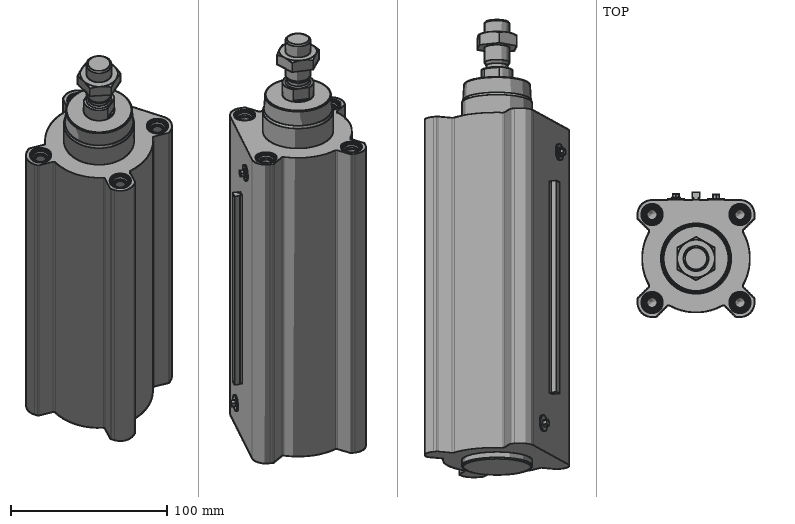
import cadquery as cq
import math

HEXAGON_SIDES = 6

BARREL_BOTTOM = 4.5
BARREL_TOP = 225.0
COLLAR_TOP = 252.0
ROD_SHOULDER = 261.2
ROD_TOP = 293.0

BARREL_HALF_WIDTH = 37.5
BARREL_RADIUS = 34.5
BOLT_OFFSET = 28.0
LOBE_RADIUS = BARREL_HALF_WIDTH - BOLT_OFFSET
LOBE_FLAT_END = 25.5
LOBE_FILLET = 1.2
NECK_FILLET = 1.2

MOUTH_DIAMETER = 13.8
COUNTERBORE_DIAMETER = 13.2
COUNTERBORE_FLOOR_DIAMETER = 12.0
COUNTERBORE_DEPTH = 1.2
COUNTERSINK_DIAMETER = 10.0
THREAD_DIAMETER = 8.0
THREAD_DEPTH = 3.5
DRILL_DIAMETER = 6.7
DRILL_DEPTH = 23.5
DRILL_TIP_ANGLE = 118.0

COLLAR_DIAMETER = 45.0
COLLAR_STEP_BOTTOM = 239.8
COLLAR_STEP_TOP = 241.5
COLLAR_CONE_BOTTOM_DIAMETER = 43.7
COLLAR_CONE_TOP_DIAMETER = 42.5
COLLAR_CHAMFER = 0.5
SPIGOT_CHAMFER = 1.0

RAIL_BOTTOM = 44.8
RAIL_TOP = 184.0
RAIL_HEIGHT = 5.0
RAIL_HEAD_UNDERSIDE = 1.5
RAIL_NECK_HEIGHT = 1.0
RAIL_WIDTH = 5.0
RAIL_NECK_WIDTH = 2.5

SCREW_OFFSET = 13.0
UPPER_SCREW_HEIGHT = 206.5
LOWER_SCREW_HEIGHT = 22.3
UPPER_SCREW_PROJECTION = 3.8
LOWER_SCREW_PROJECTION = 3.5
SCREW_BASE_DIAMETER = 10.5
SCREW_BASE_THICKNESS = 1.0
SCREW_HEAD_CORNER_DIAMETER = 4.7
SCREW_CONE_DIAMETER = 8.0
SCREW_CONE_HEIGHT = 1.8

ROD_DIAMETER = 20.0
ROD_FLATS = 17.0
FLATS_BOTTOM = COLLAR_TOP + 1.0
UNDERCUT_STEP = 1.0
THREADED_END_DIAMETER = 16.0
UNDERCUT_DIAMETER = 13.8
UNDERCUT_TOP = 264.5
THREAD_RUNOUT_TOP = 266.5
ROD_TIP_DIAMETER = 14.0

NUT_BOTTOM = 276.0
NUT_THICKNESS = 8.0
NUT_FLATS = 24.0
NUT_CHAMFER_DIAMETER = NUT_FLATS
NUT_CHAMFER_ANGLE = 30.0


def cylinder(diameter, bottom, top):
    """Cylinder on the Z axis between two heights."""
    return cq.Workplane("XY").workplane(offset=bottom).circle(diameter / 2).extrude(top - bottom)


def fillet_edge_near(body, point, radius):
    """Fillet the one edge whose middle lies nearest to a point."""
    return body.edges(cq.selectors.NearestToPointSelector(point)).fillet(radius)


def make_barrel():
    height = BARREL_TOP - BARREL_BOTTOM
    base = cq.Workplane("XY").workplane(offset=BARREL_BOTTOM)
    barrel = base.circle(BARREL_RADIUS).extrude(height)

    outer = BARREL_HALF_WIDTH
    flat_end = LOBE_FLAT_END
    inner = outer / 2
    inset = inner - (outer - flat_end)
    arc_middle = BOLT_OFFSET + LOBE_RADIUS / math.sqrt(2)
    lobe = (
        base.moveTo(inset, inner)
        .lineTo(flat_end, outer)
        .lineTo(BOLT_OFFSET, outer)
        .threePointArc((arc_middle, arc_middle), (outer, BOLT_OFFSET))
        .lineTo(outer, flat_end)
        .lineTo(inner, inset)
        .close()
        .extrude(height)
    )
    for corner in range(4):
        barrel = barrel.union(lobe.rotate((0, 0, 0), (0, 0, 1), 90 * corner))

    rear_fill = (
        base.moveTo(0, 0)
        .lineTo(BOLT_OFFSET, BOLT_OFFSET)
        .lineTo(BOLT_OFFSET, outer)
        .lineTo(-BOLT_OFFSET, outer)
        .lineTo(-BOLT_OFFSET, BOLT_OFFSET)
        .close()
        .extrude(height)
    )
    barrel = barrel.union(rear_fill).clean()

    flank_gap = (outer - flat_end) / 2
    along = math.sqrt(BARREL_RADIUS**2 - 2 * flank_gap**2) / math.sqrt(2)
    near = along - flank_gap
    far = along + flank_gap
    neck_points = [
        (near, -far), (-near, -far),
        (far, -near), (-far, -near),
        (far, near), (-far, near),
    ]
    middle = (BARREL_BOTTOM + BARREL_TOP) / 2
    for x, y in neck_points:
        barrel = fillet_edge_near(barrel, (x, y, middle), NECK_FILLET)

    corner_points = [
        (flat_end, -outer), (-flat_end, -outer),
        (outer, -flat_end), (-outer, -flat_end),
        (outer, flat_end), (-outer, flat_end),
    ]
    for x, y in corner_points:
        barrel = fillet_edge_near(barrel, (x, y, middle), LOBE_FILLET)
    return barrel


def make_collar():
    """Stepped, slightly tapered collar at the rod end."""
    top_radius = COLLAR_CONE_TOP_DIAMETER / 2
    return (
        cq.Workplane("XZ")
        .moveTo(0, BARREL_TOP)
        .lineTo(COLLAR_DIAMETER / 2, BARREL_TOP)
        .lineTo(COLLAR_DIAMETER / 2, COLLAR_STEP_BOTTOM)
        .lineTo(COLLAR_CONE_BOTTOM_DIAMETER / 2, COLLAR_STEP_TOP)
        .lineTo(top_radius, COLLAR_TOP - COLLAR_CHAMFER)
        .lineTo(top_radius - COLLAR_CHAMFER, COLLAR_TOP)
        .lineTo(0, COLLAR_TOP)
        .close()
        .revolve(360, (0, 0, 0), (0, 1, 0))
    )


def make_spigot():
    return cylinder(COLLAR_DIAMETER, 0, BARREL_BOTTOM).faces("<Z").chamfer(SPIGOT_CHAMFER)


def make_mounting_hole():
    """Cutter for one corner hole, on the Z axis, with a conical drill tip."""
    mouth_chamfer = (MOUTH_DIAMETER - COUNTERBORE_DIAMETER) / 2
    floor_chamfer = (COUNTERBORE_DIAMETER - COUNTERBORE_FLOOR_DIAMETER) / 2
    tip_height = DRILL_DIAMETER / 2 / math.tan(math.radians(DRILL_TIP_ANGLE / 2))
    counterbore_floor = BARREL_TOP - COUNTERBORE_DEPTH
    countersink_end = counterbore_floor - (COUNTERSINK_DIAMETER - THREAD_DIAMETER) / 2
    thread_end = BARREL_TOP - THREAD_DEPTH
    drill_end = BARREL_TOP - DRILL_DEPTH
    return (
        cq.Workplane("XZ")
        .moveTo(0, BARREL_TOP)
        .lineTo(MOUTH_DIAMETER / 2, BARREL_TOP)
        .lineTo(COUNTERBORE_DIAMETER / 2, BARREL_TOP - mouth_chamfer)
        .lineTo(COUNTERBORE_DIAMETER / 2, counterbore_floor + floor_chamfer)
        .lineTo(COUNTERBORE_FLOOR_DIAMETER / 2, counterbore_floor)
        .lineTo(COUNTERSINK_DIAMETER / 2, counterbore_floor)
        .lineTo(THREAD_DIAMETER / 2, countersink_end)
        .lineTo(THREAD_DIAMETER / 2, thread_end)
        .lineTo(DRILL_DIAMETER / 2, thread_end)
        .lineTo(DRILL_DIAMETER / 2, drill_end)
        .lineTo(0, drill_end - tip_height)
        .close()
        .revolve(360, (0, 0, 0), (0, 1, 0))
    )


def make_rail():
    """Rail of T section with a flared foot, standing on the flat rear side."""
    foot = BARREL_HALF_WIDTH
    wide = RAIL_WIDTH / 2
    narrow = RAIL_NECK_WIDTH / 2
    half_profile = [
        (wide, foot),
        (narrow, foot + RAIL_NECK_HEIGHT),
        (wide, foot + RAIL_HEAD_UNDERSIDE),
        (wide, foot + RAIL_HEIGHT),
    ]
    mirrored = [(-x, y) for x, y in reversed(half_profile)]
    return (
        cq.Workplane("XY")
        .workplane(offset=RAIL_BOTTOM)
        .polyline(half_profile + mirrored)
        .close()
        .extrude(RAIL_TOP - RAIL_BOTTOM)
    )


def make_screw(x, z, projection):
    """Cushion screw: thin round base and a hexagonal head with corners up and down."""
    plane = cq.Plane(origin=(x, BARREL_HALF_WIDTH, z), xDir=(0, 0, 1), normal=(0, 1, 0))
    base = cq.Workplane(plane).circle(SCREW_BASE_DIAMETER / 2).extrude(SCREW_BASE_THICKNESS)
    head = cq.Workplane(plane).polygon(HEXAGON_SIDES, SCREW_HEAD_CORNER_DIAMETER).extrude(projection)
    return base.union(head)


def make_screw_cone(x, z):
    """Conical seat around the head of a cushion screw."""
    return cq.Workplane(
        cq.Solid.makeCone(
            SCREW_CONE_DIAMETER / 2,
            SCREW_HEAD_CORNER_DIAMETER / 2,
            SCREW_CONE_HEIGHT,
            pnt=cq.Vector(x, BARREL_HALF_WIDTH, z),
            dir=cq.Vector(0, 1, 0),
        )
    )


def make_housing():
    housing = make_barrel().union(make_collar()).union(make_spigot()).union(make_rail())
    housing = housing.union(make_screw(-SCREW_OFFSET, UPPER_SCREW_HEIGHT, UPPER_SCREW_PROJECTION))
    housing = housing.union(make_screw_cone(-SCREW_OFFSET, UPPER_SCREW_HEIGHT))
    housing = housing.union(make_screw(SCREW_OFFSET, LOWER_SCREW_HEIGHT, LOWER_SCREW_PROJECTION))
    mounting_hole = make_mounting_hole()
    for x in (-BOLT_OFFSET, BOLT_OFFSET):
        for y in (-BOLT_OFFSET, BOLT_OFFSET):
            housing = housing.cut(mounting_hole.translate((x, y, 0)))
    rod_bore = cylinder(ROD_DIAMETER, BARREL_TOP, COLLAR_TOP)
    return housing.cut(rod_bore)


def make_rod():
    thread_radius = THREADED_END_DIAMETER / 2
    undercut_radius = UNDERCUT_DIAMETER / 2
    tip_chamfer = (THREADED_END_DIAMETER - ROD_TIP_DIAMETER) / 2
    rod = (
        cq.Workplane("XZ")
        .moveTo(0, BARREL_TOP)
        .lineTo(ROD_DIAMETER / 2, BARREL_TOP)
        .lineTo(ROD_DIAMETER / 2, ROD_SHOULDER)
        .lineTo(thread_radius, ROD_SHOULDER)
        .lineTo(undercut_radius, ROD_SHOULDER + UNDERCUT_STEP)
        .lineTo(undercut_radius, UNDERCUT_TOP)
        .lineTo(thread_radius, THREAD_RUNOUT_TOP)
        .lineTo(thread_radius, ROD_TOP - tip_chamfer)
        .lineTo(ROD_TIP_DIAMETER / 2, ROD_TOP)
        .lineTo(0, ROD_TOP)
        .close()
        .revolve(360, (0, 0, 0), (0, 1, 0))
    )
    flats_height = ROD_SHOULDER - FLATS_BOTTOM
    for side in (-1, 1):
        flat_cut = (
            cq.Workplane("XY")
            .workplane(offset=FLATS_BOTTOM)
            .center(side * (ROD_FLATS + ROD_DIAMETER) / 2, 0)
            .rect(ROD_DIAMETER, ROD_DIAMETER)
            .extrude(flats_height)
        )
        rod = rod.cut(flat_cut)
    return rod


def make_nut():
    half_side_angle = 180 / HEXAGON_SIDES
    corner_diameter = NUT_FLATS / math.cos(math.radians(half_side_angle))
    nut_top = NUT_BOTTOM + NUT_THICKNESS
    nut = (
        cq.Workplane("XY")
        .workplane(offset=NUT_BOTTOM)
        .polygon(HEXAGON_SIDES, corner_diameter)
        .extrude(NUT_THICKNESS)
        .rotate((0, 0, 0), (0, 0, 1), half_side_angle)
    )
    slope = math.tan(math.radians(NUT_CHAMFER_ANGLE))
    cone_bottom_radius = NUT_CHAMFER_DIAMETER / 2 + NUT_THICKNESS / slope
    bevel = cq.Workplane(
        cq.Solid.makeCone(
            cone_bottom_radius,
            NUT_CHAMFER_DIAMETER / 2,
            NUT_THICKNESS,
            pnt=cq.Vector(0, 0, NUT_BOTTOM),
        )
    )
    return nut.intersect(bevel).cut(cylinder(THREADED_END_DIAMETER, NUT_BOTTOM, nut_top))


housing = make_housing()
rod = make_rod()
nut = make_nut()

result = cq.Compound.makeCompound([housing.val(), rod.val(), nut.val()])